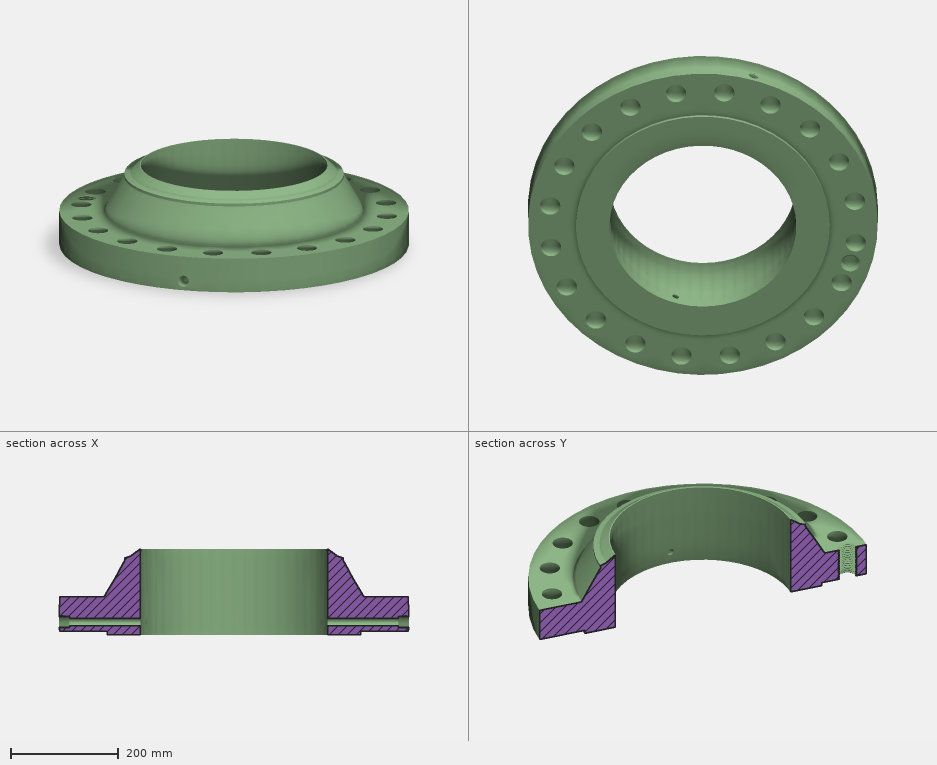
import cadquery as cq

flange_diameter = 648.0
raised_face_diameter = 470.0
raised_face_height = 6.5
flange_thickness = 65.0
flange_top = raised_face_height + flange_thickness

total_height = 159.0
bore_radius = 173.0
hub_base_radius = 241.0
hub_fillet_radius = 3.0
edge_tolerance = 0.5
collar_radius = 203.5
collar_bottom = 137.0
collar_top = 142.5
shoulder_inner_radius = 192.0
shoulder_top = 146.5
weld_land = 2.0

bolt_count = 20
bolt_circle_radius = 285.5
bolt_hole_diameter = 37.5
bolt_step = 360.0 / bolt_count

jack_major_diameter = 35.5
jack_minor_diameter = 31.0
jack_ring_count = 16

tap_height = 24.0
tap_bore_diameter = 13.0
tap_major_diameter = 21.5
tap_minor_diameter = 18.0
tap_ring_count = 10
tap_thread_depth = 19.5


def make_body():
    """Revolve the half section of the flange and neck about Z."""
    half_section = (
        cq.Workplane("XZ")
        .moveTo(bore_radius, 0)
        .lineTo(raised_face_diameter / 2, 0)
        .lineTo(raised_face_diameter / 2, raised_face_height)
        .lineTo(flange_diameter / 2, raised_face_height)
        .lineTo(flange_diameter / 2, flange_top)
        .lineTo(hub_base_radius, flange_top)
        .lineTo(collar_radius, collar_bottom)
        .lineTo(collar_radius, collar_top)
        .lineTo(shoulder_inner_radius, shoulder_top)
        .lineTo(bore_radius + weld_land, total_height)
        .lineTo(bore_radius, total_height)
        .close()
    )
    body = half_section.revolve(360, (0, 0, 0), (0, 1, 0))
    reach = hub_base_radius + edge_tolerance
    hub_base = cq.selectors.BoxSelector(
        (-reach, -reach, flange_top - edge_tolerance),
        (reach, reach, flange_top + edge_tolerance),
        boundingbox=True,
    )
    return body.edges(hub_base).fillet(hub_fillet_radius)


def make_thread_cutter(major_diameter, minor_diameter, length, ring_count):
    """Cutter along +Z from the origin with V-shaped rings for a thread, widest at both ends."""
    major_radius = major_diameter / 2
    minor_radius = minor_diameter / 2
    pitch = length / ring_count
    outline = cq.Workplane("XZ").lineTo(major_radius, 0)
    for ring in range(ring_count):
        outline = outline.lineTo(minor_radius, (ring + 0.5) * pitch)
        outline = outline.lineTo(major_radius, (ring + 1) * pitch)
    return outline.lineTo(0, length).close().revolve(360, (0, 0, 0), (0, 1, 0))


def make_bolt_holes():
    return (
        cq.Workplane("XY")
        .polarArray(bolt_circle_radius, bolt_step / 2, 360, bolt_count)
        .circle(bolt_hole_diameter / 2)
        .extrude(flange_top)
    )


def make_jack_hole():
    cutter = make_thread_cutter(jack_major_diameter, jack_minor_diameter, flange_thickness, jack_ring_count)
    return cutter.translate((-bolt_circle_radius, 0, raised_face_height))


def make_pressure_tap():
    """Tap on the -Y side: threaded mouth and a smaller hole into the bore."""
    thread = make_thread_cutter(tap_major_diameter, tap_minor_diameter, tap_thread_depth, tap_ring_count)
    passage = cq.Workplane("XY").circle(tap_bore_diameter / 2).extrude(flange_diameter / 2)
    return (
        thread.union(passage)
        .rotate((0, 0, 0), (1, 0, 0), -90)
        .translate((0, -flange_diameter / 2, tap_height))
    )


tap = make_pressure_tap()
result = (
    make_body()
    .cut(make_bolt_holes())
    .cut(make_jack_hole())
    .cut(tap)
    .cut(tap.mirror("XZ"))
)